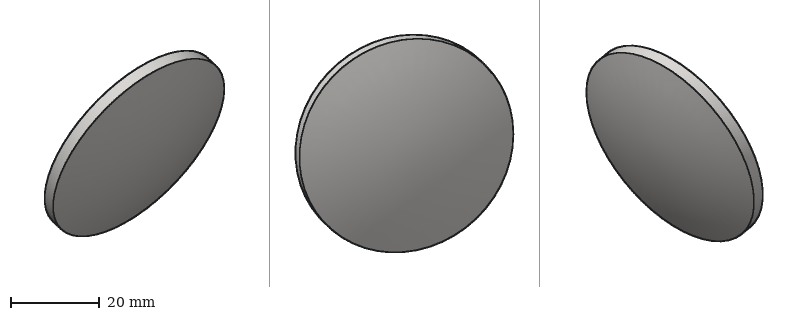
import cadquery as cq

diameter = 50.8
centre_thickness = 10.3
edge_thickness = 3.0

radius = diameter / 2
half_centre = centre_thickness / 2
half_edge = edge_thickness / 2
sag = half_centre - half_edge
surface_radius = (radius**2 + sag**2) / (2 * sag)


def cap_midpoint(side):
    """Point on a spherical face, halfway from the axis to the rim."""
    height = radius / 2
    drop = surface_radius - (surface_radius**2 - height**2) ** 0.5
    return (side * (half_centre - drop), height)


half_section = (
    cq.Workplane("XY")
    .moveTo(-half_centre, 0)
    .threePointArc(cap_midpoint(-1), (-half_edge, radius))
    .lineTo(half_edge, radius)
    .threePointArc(cap_midpoint(1), (half_centre, 0))
    .close()
)

result = half_section.revolve(360, (0, 0, 0), (1, 0, 0))